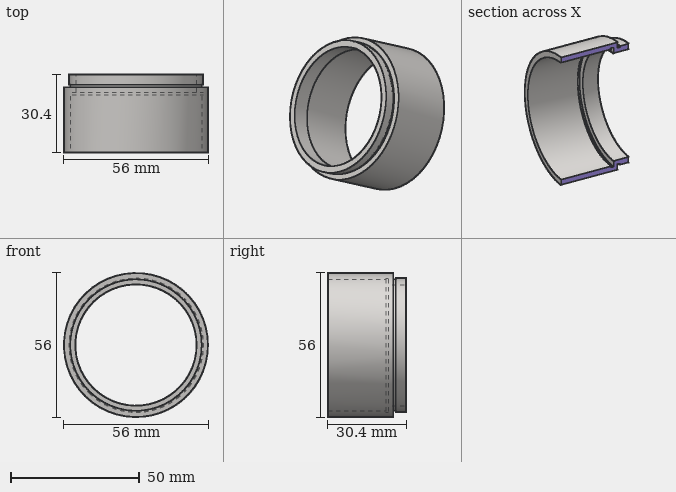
import cadquery as cq

body_diameter = 56.0
total_length = 30.4

lip_diameter = 52.2
lip_length = 4.0
groove_diameter = 51.2
groove_width = 1.0

wide_bore_diameter = 51.0
wide_bore_depth = 23.5
relief_diameter = 52.0
relief_width = 1.0
through_bore_diameter = 47.0

body_length = total_length - lip_length - groove_width


def cylinder(diameter, start, length):
    """Solid cylinder along +Y, beginning at y = start."""
    plane = cq.Plane(origin=(0, start, 0), xDir=(1, 0, 0), normal=(0, 1, 0))
    return cq.Workplane(plane).circle(diameter / 2).extrude(length)


body = cylinder(body_diameter, 0, body_length)
groove_floor = cylinder(groove_diameter, body_length, groove_width)
lip = cylinder(lip_diameter, body_length + groove_width, lip_length)
sleeve = body.union(groove_floor).union(lip)

through_bore = cylinder(through_bore_diameter, 0, total_length)
wide_bore = cylinder(wide_bore_diameter, 0, wide_bore_depth)
relief = cylinder(relief_diameter, wide_bore_depth - relief_width, relief_width)
result = sleeve.cut(through_bore).cut(wide_bore).cut(relief)